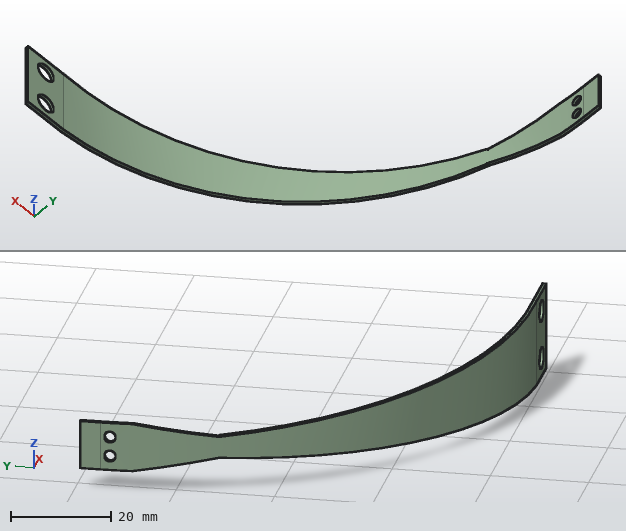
import cadquery as cq
import math

length_x = 84.2
length_y = 78.3
thickness = 0.75
wide_tab_length = 10.0
wide_width = 18.0
narrow_width = 10.0
neck_width = 4.5
taper_start_angle = 5.0
neck_angle = 18.4

wide_hole_diameter = 4.4
wide_hole_spacing = 10.0
narrow_hole_diameter = 2.3
narrow_hole_spacing = 4.0
narrow_hole_inset = 6.1

outer_radius = length_x - wide_tab_length
inner_radius = outer_radius - thickness
bend_center_x = outer_radius
bend_center_y = outer_radius
neck_y = bend_center_y - outer_radius * math.sin(math.radians(neck_angle))
taper_start_y = bend_center_y - outer_radius * math.sin(math.radians(taper_start_angle))


def bend_point(radius):
    """Midpoint of the quarter circle with the given radius."""
    offset = radius * math.sqrt(0.5)
    return bend_center_x - offset, bend_center_y - offset


def blade_edge(t):
    """Point (x, z) on the upper edge; width grows evenly along the bend from neck to tab."""
    angle = math.radians(neck_angle + t * (90 - neck_angle))
    width = neck_width + t * (wide_width - neck_width)
    return bend_center_x - outer_radius * math.cos(angle), width / 2


def make_strip():
    """Curved strip of full width and constant thickness."""
    return (
        cq.Workplane("XY", origin=(0, 0, -wide_width / 2))
        .moveTo(0, length_y)
        .lineTo(0, bend_center_y)
        .threePointArc(bend_point(outer_radius), (bend_center_x, 0))
        .lineTo(length_x, 0)
        .lineTo(length_x, thickness)
        .lineTo(bend_center_x, thickness)
        .threePointArc(bend_point(inner_radius), (thickness, bend_center_y))
        .lineTo(thickness, length_y)
        .close()
        .extrude(wide_width)
    )


def make_blade_envelope():
    """Widening outline, from the neck to the wide tab."""
    steps = 12
    edge = [blade_edge(i / steps) for i in range(steps + 1)]
    lower_edge = [(x, -z) for x, z in reversed(edge)]
    return (
        cq.Workplane("XZ")
        .moveTo(*edge[0])
        .spline(edge[1:], includeCurrent=True)
        .lineTo(length_x, wide_width / 2)
        .lineTo(length_x, -wide_width / 2)
        .lineTo(*lower_edge[0])
        .spline(lower_edge[1:], includeCurrent=True)
        .close()
        .extrude(-neck_y)
    )


def make_narrow_envelope():
    """Straight taper from the narrow end down to the neck."""
    return (
        cq.Workplane("YZ")
        .moveTo(neck_y, neck_width / 2)
        .lineTo(taper_start_y, narrow_width / 2)
        .lineTo(length_y, narrow_width / 2)
        .lineTo(length_y, -narrow_width / 2)
        .lineTo(taper_start_y, -narrow_width / 2)
        .lineTo(neck_y, -neck_width / 2)
        .close()
        .extrude(outer_radius)
    )


def make_hole_pair(plane, center, spacing, diameter, depth):
    """Two round cutters, one above the other about the middle plane."""
    return (
        cq.Workplane(plane)
        .pushPoints([(center, spacing / 2), (center, -spacing / 2)])
        .circle(diameter / 2)
        .extrude(depth)
    )


strip = make_strip()
blade = strip.intersect(make_blade_envelope())
narrow_end = strip.intersect(make_narrow_envelope())

wide_holes = make_hole_pair(
    "XZ", length_x - wide_tab_length / 2, wide_hole_spacing, wide_hole_diameter, -2 * thickness
)
narrow_holes = make_hole_pair(
    "YZ", length_y - narrow_hole_inset, narrow_hole_spacing, narrow_hole_diameter, 2 * thickness
)

result = blade.union(narrow_end).cut(wide_holes).cut(narrow_holes)